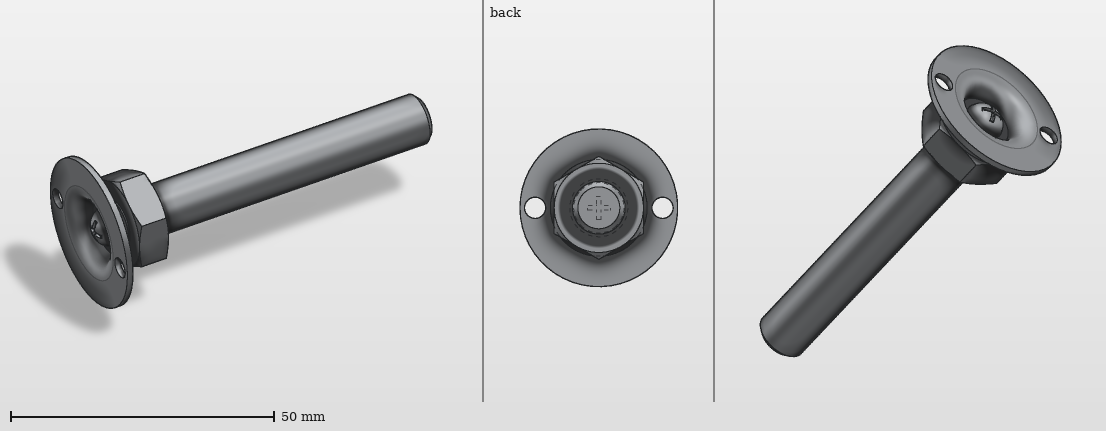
import cadquery as cq
import math

total_length = 72.5

flange_diameter = 30.0
flange_thickness = 1.2
screw_hole_diameter = 4.0
screw_hole_spacing = 24.2

cone_base_diameter = 18.4
neck_diameter = 9.6
cone_end = 5.95

recess_floor_diameter = 11.0
recess_flare_radius = 4.0
dome_base_radius = 4.0
dome_height = 3.1
dome_sphere_radius = (dome_base_radius**2 + dome_height**2) / (2 * dome_height)
recess_mouth_radius = recess_floor_diameter / 2 + recess_flare_radius

cross_length = 4.35
cross_width = 0.8
cross_depth = 0.8

rod_diameter = 10.0
rod_chamfer = 1.0

nut_start = 6.3
nut_thickness = 6.3
nut_across_flats = 17.0
nut_chamfer_angle = 20
nut_corner_diameter = nut_across_flats / math.cos(math.radians(30))


def cylinder_along_y(diameter, start, end):
    return cq.Workplane("XZ", origin=(0, start, 0)).circle(diameter / 2).extrude(start - end)


def make_flange():
    """Plate, cone and neck, hollowed by a recess whose wall flares out onto the plate face."""
    flare_middle = recess_flare_radius * math.sqrt(0.5)
    profile = (
        cq.Workplane("XY")
        .moveTo(recess_mouth_radius, 0)
        .lineTo(flange_diameter / 2, 0)
        .lineTo(flange_diameter / 2, flange_thickness)
        .lineTo(cone_base_diameter / 2, flange_thickness)
        .lineTo(neck_diameter / 2, cone_end)
        .lineTo(neck_diameter / 2, nut_start)
        .lineTo(0, nut_start)
        .lineTo(0, recess_flare_radius)
        .lineTo(recess_floor_diameter / 2, recess_flare_radius)
        .threePointArc(
            (recess_mouth_radius - flare_middle, recess_flare_radius - flare_middle),
            (recess_mouth_radius, 0),
        )
        .close()
    )
    flange = profile.revolve(360, (0, 0, 0), (0, 1, 0))
    for side in (-1, 1):
        hole = cylinder_along_y(screw_hole_diameter, 0, flange_thickness)
        flange = flange.cut(hole.translate((side * screw_hole_spacing / 2, 0, 0)))
    return flange


def make_rod():
    return cylinder_along_y(rod_diameter, nut_start, total_length).faces(">Y").chamfer(rod_chamfer)


def make_nut():
    """Hexagonal prism with its corners bevelled by a cone at each end."""
    corner_angle = 90
    prism = (
        cq.Workplane("XZ", origin=(0, nut_start, 0))
        .transformed(rotate=(0, 0, corner_angle))
        .polygon(6, nut_corner_diameter)
        .extrude(-nut_thickness)
    )
    bevel_width = (nut_corner_diameter - nut_across_flats) / 2
    bevel_height = bevel_width * math.tan(math.radians(nut_chamfer_angle))
    envelope = (
        cylinder_along_y(nut_corner_diameter, nut_start, nut_start + nut_thickness)
        .faces("<Y or >Y")
        .chamfer(bevel_height, bevel_width)
    )
    return prism.intersect(envelope)


def make_dome():
    """Spherical cap on the recess floor, with the cross slot cut into its tip."""
    dome_tip = recess_flare_radius - dome_height
    dome = (
        cq.Workplane("XY")
        .moveTo(0, dome_tip)
        .radiusArc((dome_base_radius, recess_flare_radius), -dome_sphere_radius)
        .lineTo(0, recess_flare_radius)
        .close()
        .revolve(360, (0, 0, 0), (0, 1, 0))
    )
    slot_centre = (0, dome_tip + cross_depth / 2, 0)
    for width, height in ((cross_length, cross_width), (cross_width, cross_length)):
        dome = dome.cut(cq.Workplane("XY").box(width, cross_depth, height).translate(slot_centre))
    return dome


result = make_flange().union(make_rod()).union(make_nut()).union(make_dome())